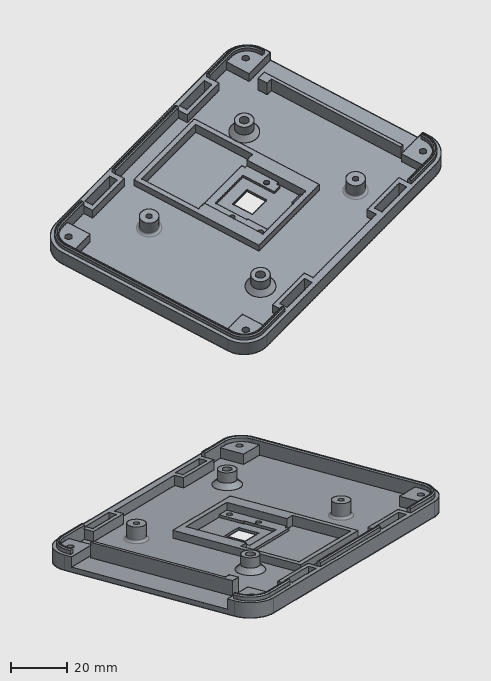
import cadquery as cq

LENGTH_X = 93.0
LENGTH_Y = 123.0
CORNER_RADIUS = 10.0
FLOOR = 2.0
RIM_HEIGHT = 6.0
TOTAL_HEIGHT = 8.0
WALL = 3.0

LIP_THICKNESS = 1.5
LIP_CHAMFER = 0.5
LIP_END_SETBACK = 1.5

CORNER_BLOCK = 13.0
CORNER_HOLE_DIAMETER = 2.6
CORNER_HOLE_X = 39.0
CORNER_HOLE_Y = 54.0

SLOT_Y = 28.85
SLOT_LENGTH = 15.1
SLOT_INNER_X = 41.25
SLOT_OUTER_X = 44.5
SLOT_BLOCK_LENGTH = 19.3
SLOT_BLOCK_INNER_X = 39.6

STANDOFF_CENTER_X = 4.0
STANDOFF_CENTER_Y = -1.5
STANDOFF_PITCH_X = 49.0
STANDOFF_PITCH_Y = 58.0
STANDOFF_DIAMETER = 7.0
THROUGH_BORE = 3.5
THROUGH_FLARE = 2.0
BLIND_BORE = 2.2
BLIND_FLARE = 1.0

RAIL_X_MIN = -28.5
RAIL_X_MAX = 32.5
RAIL_Y_MAX = 50.8
RAIL_THICKNESS = 1.3
HOOK_LENGTH_X = 4.0
HOOK_LENGTH_Y = 3.8

FRAME_CENTER_Y = 1.5
FRAME_TOP = 5.0
FRAME_X_MIN = -37.0
FRAME_X_MAX = 18.0
FRAME_WIDTH = 36.8
BAY_X_MIN = -35.0
BAY_X_MAX = -10.0
BAY_WIDTH = 32.9
SENSOR_X_MAX = 15.9
SENSOR_WIDTH = 26.0
POCKET_FLOOR = 1.0

LEDGE_TOP = 2.0
LEDGE_X_MIN = -11.5
LEDGE_WIDTH = 24.0
LEDGE_INNER_X = -8.4
LEDGE_ARM_X_MAX = 5.4
LEDGE_ARM_STEP_X = 3.9
LEDGE_ARM_Y_MIN = 9.9
LEDGE_BAR_Y_MAX = -6.9
LEDGE_BAR_END_Y_MAX = -6.45
STOP_LENGTH_X = 2.3
STOP_LENGTH_Y = 5.0
SENSOR_HOLE_DIAMETER = 2.1
SENSOR_HOLES = [(0.5, 12.0), (0.5, -9.0), (13.0, -9.0)]
WINDOW_SIZE = 8.7
WINDOW_CENTER_X = 0.65

half_x = LENGTH_X / 2
half_y = LENGTH_Y / 2
opening_half = half_x - CORNER_BLOCK


def box(x_min, x_max, y_min, y_max, z_min, z_max):
    """Axis-aligned block given by its limits."""
    size = (x_max - x_min, y_max - y_min, z_max - z_min)
    return cq.Workplane("XY").box(*size, centered=False).translate((x_min, y_min, z_min))


def centered_band(x_min, x_max, y_center, width, z_min, z_max):
    """Block whose Y extent is centred on y_center."""
    return box(x_min, x_max, y_center - width / 2, y_center + width / 2, z_min, z_max)


def rounded_plate(inset, z_min, z_max):
    """Rounded rectangle inset evenly from the outer outline."""
    return (
        cq.Workplane("XY", origin=(0, 0, z_min))
        .rect(LENGTH_X - 2 * inset, LENGTH_Y - 2 * inset)
        .extrude(z_max - z_min)
        .edges("|Z")
        .fillet(CORNER_RADIUS - inset)
    )


def cylinder(x, y, diameter, z_min, z_max):
    return cq.Workplane("XY", origin=(x, y, z_min)).circle(diameter / 2).extrude(z_max - z_min)


def make_tray():
    """Open tray with a solid block left in each corner and no wall between the +Y blocks."""
    long_half = half_y - CORNER_BLOCK
    cavity = rounded_plate(WALL, FLOOR, RIM_HEIGHT)
    lengthwise = box(-opening_half, opening_half, -half_y, half_y, FLOOR, RIM_HEIGHT)
    crosswise = box(-half_x, half_x, -long_half, long_half, FLOOR, RIM_HEIGHT)
    cavity = cavity.intersect(lengthwise.union(crosswise))
    opening = box(-opening_half, opening_half, 0, half_y, FLOOR, RIM_HEIGHT)
    return rounded_plate(0, 0, RIM_HEIGHT).cut(cavity).cut(opening)


def make_lip():
    """Ring chamfered along both top edges, interrupted at the opening, the slots and the +X middle."""
    outer = rounded_plate(WALL - LIP_THICKNESS, RIM_HEIGHT, TOTAL_HEIGHT)
    lip = outer.cut(rounded_plate(WALL, RIM_HEIGHT, TOTAL_HEIGHT))
    lip = lip.faces(">Z").chamfer(LIP_CHAMFER)
    gap_half = opening_half + LIP_END_SETBACK
    lip = lip.cut(box(-gap_half, gap_half, 0, half_y, RIM_HEIGHT, TOTAL_HEIGHT))
    for y in (-SLOT_Y, SLOT_Y):
        lip = lip.cut(centered_band(-half_x, half_x, y, SLOT_BLOCK_LENGTH, RIM_HEIGHT, TOTAL_HEIGHT))
    return lip.cut(centered_band(0, half_x, 0, 2 * SLOT_Y, RIM_HEIGHT, TOTAL_HEIGHT))


def add_strap_slots(body):
    wall_x = half_x - WALL
    for y in (-SLOT_Y, SLOT_Y):
        right_block = centered_band(SLOT_BLOCK_INNER_X, wall_x, y, SLOT_BLOCK_LENGTH, FLOOR, RIM_HEIGHT)
        right_slot = centered_band(SLOT_INNER_X, SLOT_OUTER_X, y, SLOT_LENGTH, 0, RIM_HEIGHT)
        body = body.union(right_block).union(right_block.mirror("YZ"))
        body = body.cut(right_slot).cut(right_slot.mirror("YZ"))
    return body


def conical_flare():
    """Half profile of the 45 degree cone at the foot of a through-bored standoff."""
    return (
        cq.Workplane("XZ")
        .lineTo(STANDOFF_DIAMETER / 2 + THROUGH_FLARE, 0)
        .lineTo(STANDOFF_DIAMETER / 2, THROUGH_FLARE)
        .lineTo(0, THROUGH_FLARE)
        .close()
    )


def concave_flare():
    """Half profile of the hollow round at the foot of a blind standoff."""
    radius = STANDOFF_DIAMETER / 2
    return (
        cq.Workplane("XZ")
        .lineTo(radius + BLIND_FLARE, 0)
        .radiusArc((radius, BLIND_FLARE), BLIND_FLARE)
        .lineTo(0, BLIND_FLARE)
        .close()
    )


def add_standoff(body, x, y, flare_profile, bore, bore_bottom):
    post = cylinder(x, y, STANDOFF_DIAMETER, FLOOR, TOTAL_HEIGHT)
    flare = flare_profile.revolve(360, (0, 0), (0, 1)).translate((x, y, FLOOR))
    return body.union(post).union(flare).cut(cylinder(x, y, bore, bore_bottom, TOTAL_HEIGHT))


def add_standoffs(body):
    for side_x in (-1, 1):
        for side_y in (-1, 1):
            x = STANDOFF_CENTER_X + side_x * STANDOFF_PITCH_X / 2
            y = STANDOFF_CENTER_Y + side_y * STANDOFF_PITCH_Y / 2
            if side_x == side_y:
                body = add_standoff(body, x, y, concave_flare(), BLIND_BORE, FLOOR)
            else:
                body = add_standoff(body, x, y, conical_flare(), THROUGH_BORE, 0)
    return body


def add_rail(body):
    rail = box(RAIL_X_MIN, RAIL_X_MAX, RAIL_Y_MAX - RAIL_THICKNESS, RAIL_Y_MAX, FLOOR, TOTAL_HEIGHT)
    hook_x_max = RAIL_X_MIN + HOOK_LENGTH_X
    hook = box(RAIL_X_MIN, hook_x_max, RAIL_Y_MAX - HOOK_LENGTH_Y, RAIL_Y_MAX, FLOOR, TOTAL_HEIGHT)
    return body.union(rail).union(hook)


def make_ledge():
    sensor_y_max = FRAME_CENTER_Y + SENSOR_WIDTH / 2
    sensor_y_min = FRAME_CENTER_Y - SENSOR_WIDTH / 2
    arm_y_max = FRAME_CENTER_Y + LEDGE_WIDTH / 2
    z = (POCKET_FLOOR, LEDGE_TOP)
    ledge = centered_band(LEDGE_X_MIN, LEDGE_INNER_X, FRAME_CENTER_Y, LEDGE_WIDTH, *z)
    pieces = [
        box(BAY_X_MAX, LEDGE_ARM_STEP_X, LEDGE_ARM_Y_MIN, sensor_y_max, *z),
        box(BAY_X_MAX, LEDGE_ARM_X_MAX, LEDGE_ARM_Y_MIN, arm_y_max, *z),
        box(BAY_X_MAX, SENSOR_X_MAX, sensor_y_min, LEDGE_BAR_Y_MAX, *z),
        box(LEDGE_ARM_X_MAX, SENSOR_X_MAX, sensor_y_min, LEDGE_BAR_END_Y_MAX, *z),
        box(SENSOR_X_MAX - STOP_LENGTH_X, SENSOR_X_MAX, sensor_y_max - STOP_LENGTH_Y, sensor_y_max, *z),
    ]
    for piece in pieces:
        ledge = ledge.union(piece)
    return ledge


def add_sensor_frame(body):
    center = FRAME_CENTER_Y
    frame = centered_band(FRAME_X_MIN, FRAME_X_MAX, center, FRAME_WIDTH, FLOOR, FRAME_TOP)
    bay = centered_band(BAY_X_MIN, BAY_X_MAX, center, BAY_WIDTH, POCKET_FLOOR, FRAME_TOP)
    sensor_pocket = centered_band(BAY_X_MAX, SENSOR_X_MAX, center, SENSOR_WIDTH, POCKET_FLOOR, FRAME_TOP)
    body = body.union(frame).cut(bay).cut(sensor_pocket)
    body = body.union(make_ledge())
    for x, y in SENSOR_HOLES:
        body = body.cut(cylinder(x, y, SENSOR_HOLE_DIAMETER, 0, LEDGE_TOP))
    half_window = WINDOW_SIZE / 2
    window_x = (WINDOW_CENTER_X - half_window, WINDOW_CENTER_X + half_window)
    return body.cut(centered_band(*window_x, center, WINDOW_SIZE, 0, POCKET_FLOOR))


def drill_corner_holes(body):
    for x in (-CORNER_HOLE_X, CORNER_HOLE_X):
        for y in (-CORNER_HOLE_Y, CORNER_HOLE_Y):
            body = body.cut(cylinder(x, y, CORNER_HOLE_DIAMETER, 0, RIM_HEIGHT))
    return body


body = make_tray().union(make_lip())
body = add_strap_slots(body)
body = add_standoffs(body)
body = add_rail(body)
body = add_sensor_frame(body)
result = drill_corner_holes(body)